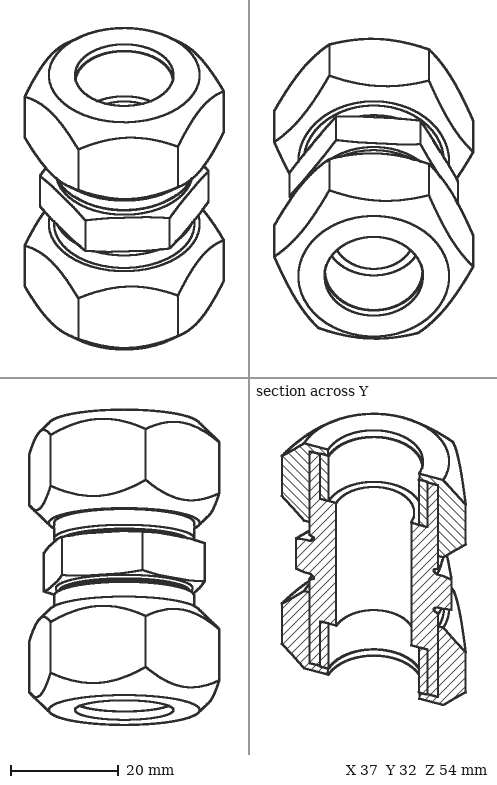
import cadquery as cq
import math

total_length = 54.0
end_z = total_length / 2

nut_across_flats = 32.0
nut_height = 18.65
nut_face_radius = 14.0
nut_hole_radius = 9.1
nut_lip_thickness = 1.55
nut_corner_radius = nut_across_flats / math.sqrt(3)
nut_chamfer_height = nut_corner_radius - nut_face_radius
nut_inner_z = end_z - nut_height
nut_lip_z = end_z - nut_lip_thickness

body_across_flats = 27.1
body_hex_height = 8.0
body_hex_face_radius = 14.0
body_hex_chamfer_drop = 0.4
neck_radius = 13.0
neck_start_z = 5.4
groove_radius = 12.1
groove_low_z = 4.55
groove_high_z = 4.85
groove_foot_radius = 12.7
bore_radius = 7.5
shoulder_z = 14.75

ferrule_inner_radius = 9.0
ferrule_outer_radius = 10.8
ferrule_length = nut_lip_z - shoulder_z


def revolve_half_profile(points):
    """Solid of revolution about Z from (radius, z) points, closed along the axis."""
    return cq.Workplane("YZ").polyline(points).close().revolve(360, (0, 0), (0, 1))


def hexagon(across_flats, bottom_z, height):
    """Hexagonal prism with corners on the X axis."""
    corner_diameter = 2 * across_flats / math.sqrt(3)
    return cq.Workplane("XY").workplane(offset=bottom_z).polygon(6, corner_diameter).extrude(height)


def cylinder(radius, bottom_z, height):
    top_z = bottom_z + height
    return revolve_half_profile([(0, bottom_z), (radius, bottom_z), (radius, top_z), (0, top_z)])


def chamfered_hexagon(across_flats, bottom_z, height, face_radius, chamfer_height):
    """Hexagonal prism whose corners are turned down to a round face at both ends."""
    corner_radius = across_flats / math.sqrt(3)
    top_z = bottom_z + height
    envelope = revolve_half_profile([
        (0, bottom_z),
        (face_radius, bottom_z),
        (corner_radius, bottom_z + chamfer_height),
        (corner_radius, top_z - chamfer_height),
        (face_radius, top_z),
        (0, top_z),
    ])
    return hexagon(across_flats, bottom_z, height).intersect(envelope)


def make_nut():
    """Upper nut: a hexagon with a cavity for the body and a lip around the pipe hole."""
    nut = chamfered_hexagon(nut_across_flats, nut_inner_z, nut_height, nut_face_radius, nut_chamfer_height)
    nut = nut.cut(cylinder(neck_radius, nut_inner_z, nut_lip_z - nut_inner_z))
    return nut.cut(cylinder(nut_hole_radius, nut_lip_z, nut_lip_thickness))


def make_neck():
    """Upper neck of the body, with the tapered groove beside the hexagon."""
    return revolve_half_profile([
        (0, 0),
        (groove_foot_radius, 0),
        (groove_foot_radius, body_hex_height / 2),
        (groove_radius, groove_low_z),
        (groove_radius, groove_high_z),
        (neck_radius, neck_start_z),
        (neck_radius, nut_lip_z),
        (0, nut_lip_z),
    ])


def make_body():
    """Middle hexagon with a neck at each end, bored through and recessed for the ferrules."""
    body = chamfered_hexagon(
        body_across_flats, -body_hex_height / 2, body_hex_height, body_hex_face_radius, body_hex_chamfer_drop
    )
    neck = make_neck()
    body = body.union(neck).union(neck.mirror("XY"))
    body = body.cut(cylinder(bore_radius, -end_z, total_length))
    recess = cylinder(ferrule_outer_radius, shoulder_z, ferrule_length)
    return body.cut(recess).cut(recess.mirror("XY"))


def make_ferrule():
    """Upper ferrule: a sleeve between the shoulder of the body and the lip of the nut."""
    sleeve = cylinder(ferrule_outer_radius, shoulder_z, ferrule_length)
    return sleeve.cut(cylinder(ferrule_inner_radius, shoulder_z, ferrule_length))


body = make_body()

end_parts = []
for upper_part in (make_nut(), make_ferrule()):
    end_parts.append(upper_part.val())
    end_parts.append(upper_part.mirror("XY").val())

result = cq.Compound.makeCompound([body.val(), *end_parts])